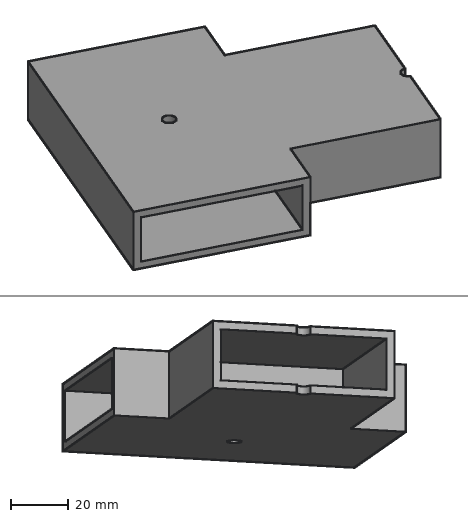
import cadquery as cq

board_width = 60.0
board_thickness = 18.0
fit_clearance = 0.2
shell = 3.0
crossbar_length = 106.0
stem_length = 56.0
screw_diameter = 5.0

tube_width = board_width + 2 * shell
tube_height = board_thickness + 2 * shell
channel_width = board_width + fit_clearance
channel_height = board_thickness + fit_clearance
stem_start = tube_width / 2
stem_end = stem_start + stem_length


def tube(length):
    """Rectangular tube along X, centred on the origin and open at both ends."""
    outside = cq.Workplane("XY").box(length, tube_width, tube_height)
    channel = cq.Workplane("XY").box(length, channel_width, channel_height)
    return outside.cut(channel)


def make_stem():
    """Tube along Y that butts against the side of the crossbar, whose wall closes its inner end."""
    along_y = tube(stem_length).rotate((0, 0, 0), (0, 0, 1), 90)
    return along_y.translate((0, (stem_start + stem_end) / 2, 0))


def make_screw_holes():
    """Vertical holes through both walls: at the crossbar centre, and as a half-round at the stem end."""
    return (
        cq.Workplane("XY")
        .pushPoints([(0, 0), (0, stem_end)])
        .circle(screw_diameter / 2)
        .extrude(tube_height / 2, both=True)
    )


result = tube(crossbar_length).union(make_stem()).cut(make_screw_holes())